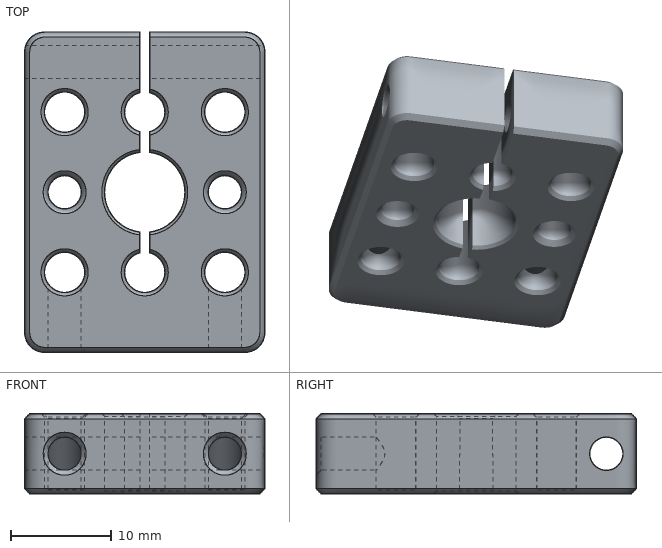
import cadquery as cq

width = 24.0
length = 32.0
thickness = 8.0
corner_radius = thickness / 4
edge_chamfer = 0.5

pitch = 8.0
bore_diameter = 8.0
clearance_diameter = 4.0
clearance_chamfer = 0.35
bore_chamfer = 0.3

screw_diameter = 3.3
screw_rim_diameter = 4.3
screw_chamfer = (screw_rim_diameter - screw_diameter) / 2

slit_width = 1.0
clamp_hole_inset = 3.0


def hole_cutter(face_point, inward, diameter, depth, chamfer):
    """Drill with a 45 degree countersink at its mouth, starting on a face."""
    point = cq.Vector(*face_point)
    direction = cq.Vector(*inward)
    radius = diameter / 2
    drill = cq.Solid.makeCylinder(radius, depth, point, direction)
    countersink = cq.Solid.makeCone(radius + chamfer, radius, chamfer, point, direction)
    return cq.Workplane(drill).union(cq.Workplane(countersink))


def cut_vertical_hole(body, x, y, diameter, chamfer):
    """Through hole along Z, countersunk on the top and bottom faces."""
    for side in (1, -1):
        mouth = (x, y, side * thickness / 2)
        body = body.cut(hole_cutter(mouth, (0, 0, -side), diameter, thickness, chamfer))
    return body


body = (
    cq.Workplane("XY")
    .box(width, length, thickness)
    .edges("|Z")
    .fillet(corner_radius)
    .faces("|Z")
    .edges()
    .chamfer(edge_chamfer)
)

body = cut_vertical_hole(body, 0, 0, bore_diameter, bore_chamfer)
for x in (-pitch, 0, pitch):
    for y in (-pitch, pitch):
        body = cut_vertical_hole(body, x, y, clearance_diameter, clearance_chamfer)
for x in (-pitch, pitch):
    body = cut_vertical_hole(body, x, 0, screw_diameter, screw_chamfer)

end_hole_depth = length / 2 - pitch
for x in (-pitch, pitch):
    mouth = (x, -length / 2, 0)
    body = body.cut(hole_cutter(mouth, (0, 1, 0), screw_diameter, end_hole_depth, screw_chamfer))

slit_length = length / 2 + pitch
slit = cq.Workplane("XY").box(slit_width, slit_length, thickness)
body = body.cut(slit.translate((0, length / 2 - slit_length / 2, 0)))

clamp_hole = (
    cq.Workplane("YZ", origin=(-width / 2, length / 2 - clamp_hole_inset, 0))
    .circle(screw_diameter / 2)
    .extrude(width)
)
result = body.cut(clamp_hole)